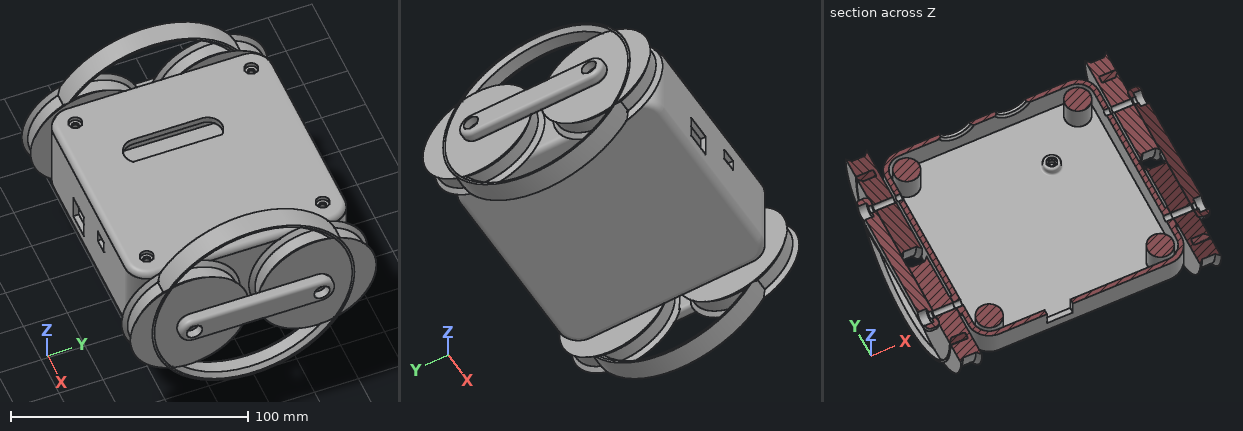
import cadquery as cq
import math


case_size = 100.0
case_height = 40.0
corner_radius = 10.0
edge_radius = 3.0
wall = 2.5
half_case = case_size / 2
case_center_z = 5.0
case_top_z = case_center_z + case_height / 2
case_bottom_z = case_center_z - case_height / 2
lid_thickness = edge_radius
seam_z = case_top_z - lid_thickness
floor_z = case_bottom_z + wall

screw_head_diameter = 6.0
screw_head_depth = 2.0
screw_clearance_diameter = 3.2
screw_pilot_diameter = 2.8
screw_pilot_depth = 12.0
screw_post_diameter = 12.0
screw_offset = half_case - corner_radius
screw_points = [(sx * screw_offset, sy * screw_offset) for sx in (-1, 1) for sy in (-1, 1)]

slot_left = -22.2
slot_right = -10.6
slot_back = 16.9
slot_front = -27.8
slot_end_radius = 6.6

large_window = (-11.7, -1.0, 12.0, 12.0)
small_window = (13.2, 9.7, 7.0, 6.0)

eye_diameter = 16.4
eye_chamfer = 1.0
eye_offset = 13.0
eye_z = 4.4

standoff_x = 19.2
standoff_y = 22.0
standoff_diameter = 8.0
standoff_height = 3.3
standoff_blend_radius = 1.0
standoff_bore_diameter = 4.7
standoff_bore_depth = 1.0
standoff_hole_diameter = 2.8

wheel_width = 10.0
wheel_gap = 1.0
groove_diameter = 50.0
flange_depth = 2.0
wheel_radius = groove_diameter / 2 + flange_depth
wheel_offset = 29.0
wheel_inner_x = half_case + wheel_gap
wheel_outer_x = wheel_inner_x + wheel_width
wheel_hole_diameter = 2.8
wheel_web = 2.0
axle_boss_diameter = 10.0

belt_outer_diameter = 92.0
belt_face_diameter = 90.0
belt_inner_diameter = 86.0

overall_length = 133.0
bar_thickness = 6.0
bar_width = 12.5
bar_edge_radius = 2.0
bar_outer_x = overall_length / 2
bar_inner_x = bar_outer_x - bar_thickness
bar_hole_diameter = 3.2
bar_head_diameter = 7.0
bar_head_depth = 4.0

axle_ys = (-wheel_offset, wheel_offset)


def cylinder_x(diameter, start_x, length, y):
    """Cylinder along +X, centred on z = 0."""
    return cq.Workplane("YZ", origin=(start_x, y, 0)).circle(diameter / 2).extrude(length)


def ring_about_x(points):
    """Revolve an (x, radius) outline about the X axis."""
    return cq.Workplane("XY").polyline(points).close().revolve(360, (0, 0, 0), (1, 0, 0))


def rounded_block():
    block = cq.Workplane("XY", origin=(0, 0, case_center_z)).box(case_size, case_size, case_height)
    return block.edges("|Z").fillet(corner_radius).faces("<Z or >Z").edges().fillet(edge_radius)


def slab(bottom_z, top_z):
    """Region between two heights, larger than the case in plan."""
    return (
        cq.Workplane("XY", origin=(0, 0, bottom_z))
        .rect(2 * case_size, 2 * case_size)
        .extrude(top_z - bottom_z)
    )


def make_lid_slot():
    """Round-ended slot whose right side is cut off straight."""
    slot_length = slot_back - slot_front
    slot_center = (slot_left + slot_end_radius, (slot_back + slot_front) / 2)
    round_ended = (
        cq.Workplane("XY", origin=(0, 0, seam_z))
        .center(*slot_center)
        .slot2D(slot_length, 2 * slot_end_radius, 90)
        .extrude(lid_thickness)
    )
    right_of_slot = (
        cq.Workplane("XY", origin=(slot_right, slot_center[1], seam_z))
        .box(slot_end_radius * 2, slot_length, lid_thickness, centered=(False, True, False))
    )
    return round_ended.cut(right_of_slot)


def make_lid():
    lid = rounded_block().intersect(slab(seam_z, case_top_z))
    lid = lid.cut(make_lid_slot())
    return (
        lid.faces(">Z")
        .workplane(origin=(0, 0, case_top_z))
        .pushPoints(screw_points)
        .cboreHole(screw_clearance_diameter, screw_head_diameter, screw_head_depth)
    )


def make_cavity():
    inner_size = case_size - 2 * wall
    cavity = (
        cq.Workplane("XY", origin=(0, 0, floor_z))
        .rect(inner_size, inner_size)
        .extrude(seam_z - floor_z)
        .edges("|Z")
        .fillet(corner_radius - wall)
    )
    posts = (
        cq.Workplane("XY", origin=(0, 0, floor_z))
        .pushPoints(screw_points)
        .circle(screw_post_diameter / 2)
        .extrude(seam_z - floor_z)
    )
    return cavity.cut(posts)


def make_window(center_x, center_z, width, height):
    return (
        cq.Workplane("XZ", origin=(center_x, -half_case + wall, center_z))
        .rect(width, height)
        .extrude(wall)
    )


def make_eye(center_x):
    """Through hole in the back wall that widens towards the inside."""
    inner_radius = eye_diameter / 2 + eye_chamfer
    inner_y = half_case - wall
    outline = [
        (center_x, inner_y),
        (center_x + inner_radius, inner_y),
        (center_x + eye_diameter / 2, inner_y + eye_chamfer),
        (center_x + eye_diameter / 2, half_case),
        (center_x, half_case),
    ]
    return (
        cq.Workplane("XY", origin=(0, 0, eye_z))
        .polyline(outline)
        .close()
        .revolve(360, (center_x, 0, 0), (center_x, 1, 0))
    )


def add_standoff(base):
    """Stepped-bore standoff with a flared foot and a rounded top."""
    foot_radius = standoff_diameter / 2 + standoff_blend_radius
    flare_end = standoff_blend_radius * (1 - math.sqrt(0.5))
    profile = (
        cq.Workplane("XZ", origin=(standoff_x, standoff_y, floor_z))
        .lineTo(foot_radius, 0)
        .threePointArc(
            (standoff_diameter / 2 + flare_end, flare_end),
            (standoff_diameter / 2, standoff_blend_radius),
        )
        .lineTo(standoff_diameter / 2, standoff_height)
        .lineTo(0, standoff_height)
        .close()
    )
    post = profile.revolve(360, (0, 0, 0), (0, 1, 0)).faces(">Z").edges().fillet(standoff_blend_radius)
    top = cq.Workplane("XY", origin=(standoff_x, standoff_y, floor_z + standoff_height))
    hole = top.circle(standoff_hole_diameter / 2).extrude(-standoff_height)
    bore = top.circle(standoff_bore_diameter / 2).extrude(-standoff_bore_depth)
    return base.union(post).cut(hole).cut(bore)


def make_base():
    base = rounded_block().intersect(slab(case_bottom_z, seam_z)).cut(make_cavity())
    for window in (large_window, small_window):
        base = base.cut(make_window(*window))
    for side in (-1, 1):
        base = base.cut(make_eye(side * eye_offset))
        start_x = half_case if side > 0 else -wheel_inner_x
        base = base.union(cylinder_x(axle_boss_diameter, start_x, wheel_gap, -wheel_offset))
    for y in axle_ys:
        base = base.cut(cylinder_x(wheel_hole_diameter, -wheel_inner_x, 2 * wheel_inner_x, y))
    pilots = (
        cq.Workplane("XY", origin=(0, 0, seam_z))
        .pushPoints(screw_points)
        .circle(screw_pilot_diameter / 2)
        .extrude(-screw_pilot_depth)
    )
    return add_standoff(base.cut(pilots))


def make_full_belt():
    taper = (belt_face_diameter - belt_inner_diameter) / 2
    return ring_about_x([
        (wheel_inner_x, belt_outer_diameter / 2),
        (wheel_outer_x, belt_outer_diameter / 2),
        (wheel_outer_x, belt_face_diameter / 2),
        (wheel_outer_x - taper, belt_inner_diameter / 2),
        (wheel_inner_x + taper, belt_inner_diameter / 2),
        (wheel_inner_x, belt_face_diameter / 2),
    ])


def make_bar():
    """Link bar whose inner edge sinks slightly into the two wheels."""
    bar = (
        cq.Workplane("YZ", origin=(bar_inner_x, 0, 0))
        .slot2D(2 * wheel_offset + bar_width, bar_width)
        .extrude(bar_thickness)
        .faces("<X or >X")
        .edges()
        .fillet(bar_edge_radius)
    )
    for y in axle_ys:
        bar = bar.cut(cylinder_x(bar_hole_diameter, bar_inner_x, bar_thickness, y))
        bar = bar.cut(cylinder_x(bar_head_diameter, bar_outer_x - bar_head_depth, bar_head_depth, y))
    return bar


def make_wheel(y, full_belt, bar):
    """Grooved wheel with a channel for the belt and a recess for the bar."""
    wheel = ring_about_x([
        (wheel_inner_x, wheel_hole_diameter / 2),
        (wheel_inner_x, wheel_radius),
        (wheel_inner_x + flange_depth, groove_diameter / 2),
        (wheel_outer_x - flange_depth, groove_diameter / 2),
        (wheel_outer_x, wheel_radius),
        (wheel_outer_x, wheel_hole_diameter / 2),
    ]).translate((0, y, 0))
    web = cylinder_x(2 * wheel_radius, wheel_inner_x, wheel_web, y)
    return wheel.cut(full_belt.cut(web)).cut(bar)


base = make_base()
lid = make_lid()
bar = make_bar()
full_belt = make_full_belt()
wheels = [make_wheel(y, full_belt, bar) for y in axle_ys]

belt = full_belt
for wheel in wheels:
    belt = belt.cut(wheel)

right_gear = [*wheels, belt, bar]
left_gear = [body.mirror("YZ") for body in right_gear]

result = cq.Compound.makeCompound([body.solids().val() for body in (base, lid, *right_gear, *left_gear)])